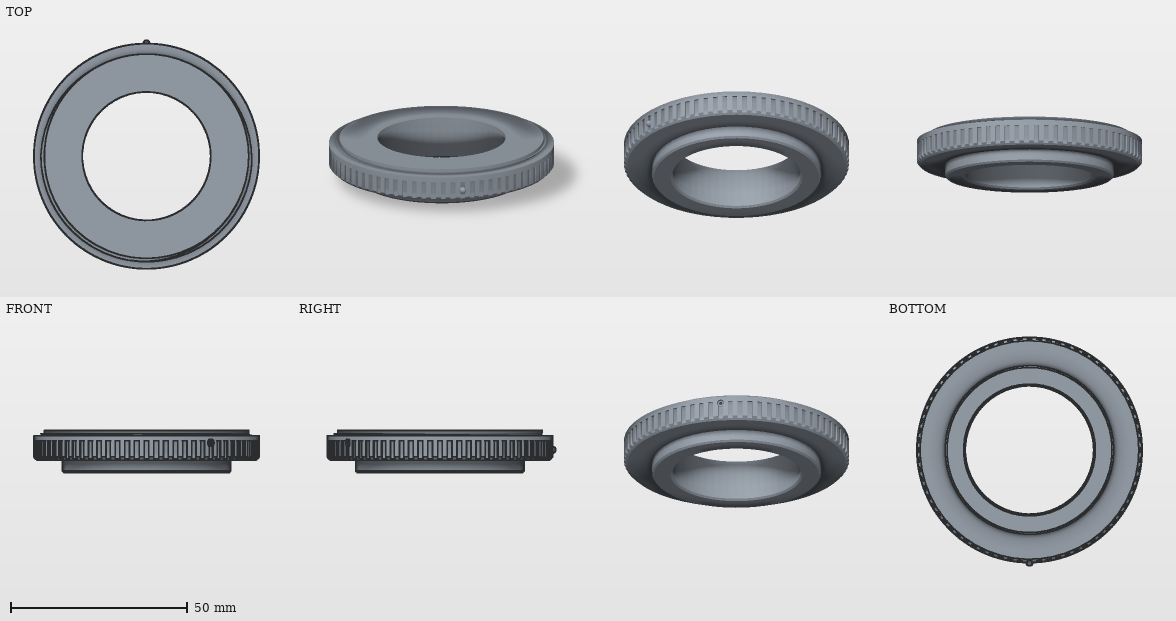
import cadquery as cq
import math

bore_diameter = 36.4
boss_diameter = 47.9
grip_diameter = 64.0
shoulder_diameter = 58.0
boss_height = 3.5
grip_height = 7.0
shoulder_height = 1.5
grip_top = boss_height + grip_height
ring_top = grip_top + shoulder_height
grip_radius = grip_diameter / 2
boss_chamfer = 0.5
grip_chamfer = 1.0

groove_count = 72
groove_width = 1.35
groove_depth = 0.5
groove_top_setback = 1.5
groove_top = grip_top - groove_top_setback
groove_floor_radius = grip_radius - groove_depth

thread_diameter = 60.0
thread_height = 0.5
thread_pitch = 2.0
thread_root_width = 1.1
thread_crest_width = 0.45
thread_top_angle = 220.0
thread_embed = 0.3

pin_diameter = 1.8
pin_length = 3.0
pin_angle = 90.0
pin_level = 6.5
pin_radius = pin_diameter / 2
pin_tip_radius = grip_radius + pin_radius

screw_diameter = 2.0
screw_chamfer = 0.2
screw_length = 3.0
screw_angle = -55.0
screw_level = 8.5
screw_outer_radius = groove_floor_radius
socket_across_flats = 0.9
socket_depth = 1.0


def disc(diameter, bottom, height):
    return cq.Workplane("XY").workplane(offset=bottom).circle(diameter / 2).extrude(height)


def place_radially(body, angle, level):
    """Turn a body built along +X to the given angle about Z and lift it to its level."""
    return body.rotate((0, 0, 0), (0, 0, 1), angle).translate((0, 0, level))


def radial_cylinder(diameter, inner_radius, outer_radius):
    return (
        cq.Workplane("YZ")
        .workplane(offset=inner_radius)
        .circle(diameter / 2)
        .extrude(outer_radius - inner_radius)
    )


def make_blank():
    """Solid stack of boss, grip and shoulder, before the bore and grooves."""
    boss = disc(boss_diameter, 0, boss_height).faces("<Z").chamfer(boss_chamfer)
    grip = disc(grip_diameter, boss_height, grip_height).faces("<Z").chamfer(grip_chamfer)
    shoulder = disc(shoulder_diameter, grip_top, shoulder_height)
    return boss.union(grip).union(shoulder)


def make_thread():
    """Helical ridge trimmed to the short band above the grip."""
    root_radius = shoulder_diameter / 2
    crest_radius = thread_diameter / 2
    thread_top = grip_top + thread_height
    rise = thread_height + thread_root_width
    start_level = grip_top - thread_root_width / 2
    start_angle = thread_top_angle + 360 * (thread_top - start_level) / thread_pitch

    helix = cq.Wire.makeHelix(thread_pitch, rise, root_radius, lefthand=True)
    flank_slope = (thread_root_width - thread_crest_width) / (crest_radius - root_radius)
    embedded_width = thread_root_width + flank_slope * thread_embed
    ridge = (
        cq.Workplane("XZ")
        .moveTo(root_radius - thread_embed, -embedded_width / 2)
        .lineTo(crest_radius, -thread_crest_width / 2)
        .lineTo(crest_radius, thread_crest_width / 2)
        .lineTo(root_radius - thread_embed, embedded_width / 2)
        .close()
        .sweep(cq.Workplane(helix), isFrenet=True)
    )
    band = disc(grip_diameter, grip_top, thread_height)
    return place_radially(ridge, start_angle, start_level).intersect(band)


def make_grooves():
    """Cutters for all the grip grooves, as one compound."""
    groove = (
        cq.Workplane("XY")
        .box(2 * groove_depth, groove_width, groove_top - boss_height, centered=(False, True, False))
        .translate((groove_floor_radius, 0, boss_height))
    )
    grooves = []
    for index in range(groove_count):
        angle = index * 360 / groove_count
        grooves.append(groove.rotate((0, 0, 0), (0, 0, 1), angle).val())
    return cq.Workplane(cq.Compound.makeCompound(grooves))


def make_bore():
    """Cutter for the bore with its chamfered lower mouth."""
    bore_radius = bore_diameter / 2
    return (
        cq.Workplane("XZ")
        .lineTo(bore_radius + boss_chamfer, 0)
        .lineTo(bore_radius, boss_chamfer)
        .lineTo(bore_radius, ring_top)
        .lineTo(0, ring_top)
        .close()
        .revolve(360, (0, 0, 0), (0, 1, 0))
    )


def make_ring():
    pin_hole = radial_cylinder(pin_diameter, pin_tip_radius - pin_length, pin_tip_radius)
    screw_hole = radial_cylinder(screw_diameter, screw_outer_radius - screw_length, grip_radius)
    return (
        make_blank()
        .union(make_thread())
        .cut(make_grooves())
        .cut(make_bore())
        .cut(place_radially(pin_hole, pin_angle, pin_level))
        .cut(place_radially(screw_hole, screw_angle, screw_level))
    )


def make_pin():
    shank = radial_cylinder(pin_diameter, pin_tip_radius - pin_length, grip_radius)
    dome = cq.Workplane("XY").sphere(pin_radius).translate((grip_radius, 0, 0))
    return place_radially(shank.union(dome), pin_angle, pin_level)


def make_screw():
    shank = radial_cylinder(screw_diameter, screw_outer_radius - screw_length, screw_outer_radius)
    shank = shank.faces(">X").chamfer(screw_chamfer)
    socket = (
        cq.Workplane("YZ")
        .workplane(offset=screw_outer_radius - socket_depth)
        .polygon(6, socket_across_flats / math.cos(math.pi / 6))
        .extrude(socket_depth)
    )
    return place_radially(shank.cut(socket), screw_angle, screw_level)


ring = make_ring()
index_pin = make_pin()
set_screw = make_screw()

result = cq.Compound.makeCompound([
    ring.solids().val(),
    index_pin.solids().val(),
    set_screw.solids().val(),
])